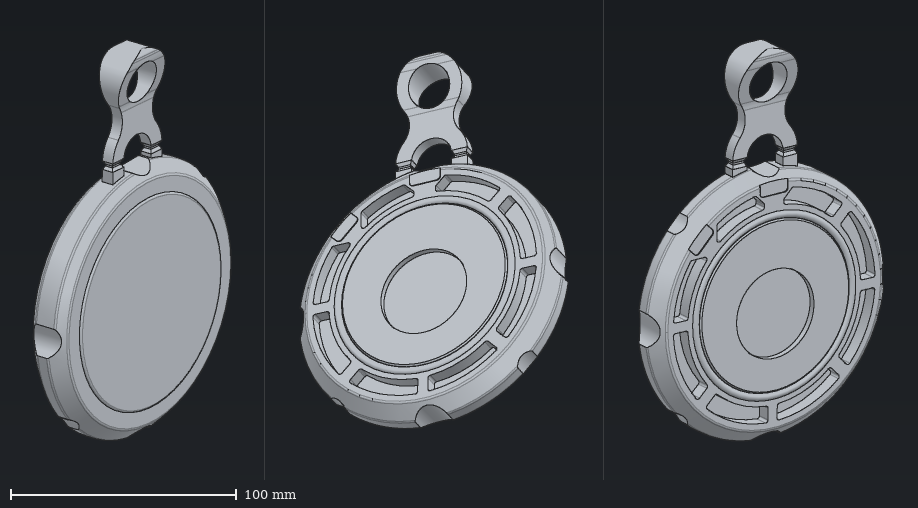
import cadquery as cq
import math

RIM_RADIUS = 65.0
LOW_RIM_RADIUS = 62.7
FACE_RADIUS = 58.5
FACE_X = 9.925
RIM_HALF_WIDTH = 3.05
WHEEL_FILLET = 1.5
RAISED_HEIGHT = 1.0
CLEARANCE = 40.0

NOTCH_RADIUS = 10.0
MAIN_NOTCH_CENTER = 70.5
MINOR_NOTCH_CENTER = 73.5

BEAD_OUTER_RADIUS = 44.4
BEAD_INNER_RADIUS = 40.8
PLATE_RADIUS = 40.7
PLATE_HEIGHT = 0.8
PLATE_CHAMFER = 0.75
WELL_RADIUS = 21.05
WELL_CENTER_Z = -3.6
WELL_DEPTH = 3.0

BACK_DISC_RADIUS = 50.45
BACK_DISC_FILLET = RAISED_HEIGHT

RECESS_INNER = 52.5
RECESS_DEPTH = 0.5
RECESS_CORNER = 1.9
TOP_RECESS_WIDTH = 15.1
DIAGONAL_RECESS_WIDTH = 13.8

POCKET_INNER_RADIUS = 47.0
POCKET_OUTER_RADIUS = 54.9
POCKET_DEPTH = 6.5
POCKET_CORNER = 1.2
POCKET_COUNT = 8
RIB_WIDTH = 5.0
DIAGONAL_RIB_WIDTH = 6.0
TOP_RIB_WIDTH = 10.6
RIB_TWIST = -1.0
WEDGE_APEX = 44.0

EYE_CENTER_Z = 104.52
EYE_RADIUS = 16.0
EYE_HOLE_RADIUS = 10.0
ARCH_CENTER_Z = 69.0
ARCH_RADIUS = 9.75
SHOULDER_RADIUS = 17.7
NECK_ARC_RADIUS = 12.5
LEG_FOOT_Z = 58.0
HANGER_HALF_THICKNESS = 3.0
EYE_HALF_THICKNESS = 8.0
FLARE_START_Z = 94.6
FLARE_END_Z = 115.1
FLARE_FILLET = 15.0
EYE_TOP_FILLET = 2.5

GROOVE_BOTTOM_Z = 66.1
GROOVE_TOP_Z = 70.2
GROOVE_DEPTH = 1.0
GROOVE_SLOPE = 1.6


def cylinder_x(radius, x_start, length, y=0.0, z=0.0):
    """Cylinder parallel to X, running from x_start towards +X."""
    return cq.Workplane("YZ", origin=(x_start, y, z)).circle(radius).extrude(length)


def turned(solid, angle):
    """Turn a solid from the +Z direction towards +Y."""
    return solid.rotate((0, 0, 0), (1, 0, 0), -angle)


def block_up(width, z_low, z_high, x_low, x_high):
    """Block centred on Y = 0."""
    return cq.Workplane("XY").box(
        x_high - x_low, width, z_high - z_low, centered=(False, True, False)
    ).translate((x_low, 0, z_low))


def stepped_wheel():
    """Turned disc whose rim is lowered in one quarter; the conical flanks run on unchanged."""
    outline = [
        (-FACE_X, 0),
        (-FACE_X, FACE_RADIUS),
        (-RIM_HALF_WIDTH, RIM_RADIUS),
        (RIM_HALF_WIDTH, RIM_RADIUS),
        (FACE_X, FACE_RADIUS),
        (FACE_X, 0),
    ]
    disc = cq.Workplane("XY").polyline(outline).close().revolve(360, (0, 0), (1, 0))
    quarter = cq.Workplane("XY").box(
        2 * CLEARANCE, 2 * RIM_RADIUS, 2 * RIM_RADIUS, centered=(True, False, False)
    ).translate((0, -2 * RIM_RADIUS, 0))
    low_rim = cylinder_x(LOW_RIM_RADIUS, -CLEARANCE, 2 * CLEARANCE)
    disc = disc.cut(quarter.cut(low_rim))
    return disc.edges("%CIRCLE").fillet(WHEEL_FILLET)


def rim_notches():
    """One cylinder per 45 degrees, starting at +Z."""
    notches = []
    for step in range(8):
        center = MINOR_NOTCH_CENTER if step % 2 else MAIN_NOTCH_CENTER
        notch = cylinder_x(NOTCH_RADIUS, -CLEARANCE, 2 * CLEARANCE, z=center)
        notches.append(turned(notch, 45 * step))
    return notches


def bead():
    """Rounded ring standing on the -X face."""
    middle = (BEAD_OUTER_RADIUS + BEAD_INNER_RADIUS) / 2
    return (
        cq.Workplane("XY")
        .moveTo(-FACE_X, BEAD_INNER_RADIUS)
        .threePointArc((-FACE_X - RAISED_HEIGHT, middle), (-FACE_X, BEAD_OUTER_RADIUS))
        .lineTo(-FACE_X + RAISED_HEIGHT, BEAD_OUTER_RADIUS)
        .lineTo(-FACE_X + RAISED_HEIGHT, BEAD_INNER_RADIUS)
        .close()
        .revolve(360, (0, 0), (1, 0))
    )


def front_plate():
    plate = cylinder_x(PLATE_RADIUS, -FACE_X - PLATE_HEIGHT, PLATE_HEIGHT + RAISED_HEIGHT)
    return plate.faces("<X").chamfer(PLATE_CHAMFER)


def back_disc():
    disc = cylinder_x(BACK_DISC_RADIUS, 0, FACE_X + RAISED_HEIGHT)
    return disc.faces(">X").edges().fillet(BACK_DISC_FILLET)


def well():
    floor_x = -FACE_X - PLATE_HEIGHT + WELL_DEPTH
    return cylinder_x(WELL_RADIUS, floor_x - CLEARANCE, CLEARANCE, z=WELL_CENTER_Z)


def recess(width, angle):
    floor_x = -FACE_X + RECESS_DEPTH
    cutter = block_up(width, RECESS_INNER, RIM_RADIUS, floor_x - CLEARANCE, floor_x)
    cutter = cutter.edges("|X and <Z").fillet(RECESS_CORNER)
    return turned(cutter, angle)


def pocket_ribs(x_low, x_high):
    """Ribs between the pockets; the diagonal recess has its own web in place of a rib."""
    ribs = [block_up(TOP_RIB_WIDTH, 0, RIM_RADIUS, x_low, x_high)]
    for step in range(2, POCKET_COUNT):
        width = DIAGONAL_RIB_WIDTH if step % 2 else RIB_WIDTH
        rib = block_up(width, 0, RIM_RADIUS, x_low, x_high)
        ribs.append(turned(rib, 360 / POCKET_COUNT * step + RIB_TWIST))
    return ribs


def recess_web(angle, x_low, x_high):
    """90 degree wedge of solid face that surrounds a recess."""
    reach = RIM_RADIUS - WEDGE_APEX
    web = (
        cq.Workplane("YZ", origin=(x_low, 0, 0))
        .polyline([(0, WEDGE_APEX), (reach, RIM_RADIUS), (-reach, RIM_RADIUS)])
        .close()
        .extrude(x_high - x_low)
    )
    return turned(web, angle)


def pockets():
    floor_x = -FACE_X + POCKET_DEPTH
    x_low = -FACE_X - RAISED_HEIGHT
    ring = (
        cq.Workplane("YZ", origin=(x_low, 0, 0))
        .circle(POCKET_OUTER_RADIUS)
        .circle(POCKET_INNER_RADIUS)
        .extrude(floor_x - x_low)
    )
    for rib in pocket_ribs(x_low, floor_x):
        ring = ring.cut(rib)
    for angle in (0, 45):
        ring = ring.cut(recess_web(angle, x_low, floor_x))
    return ring.edges("|X").fillet(POCKET_CORNER)


def hanger_outline():
    """Flat shape of the hanger in the YZ plane, without its eye hole and arch."""
    eye_reach = EYE_RADIUS + NECK_ARC_RADIUS
    shoulder_reach = SHOULDER_RADIUS + NECK_ARC_RADIUS
    span = EYE_CENTER_Z - ARCH_CENTER_Z
    rise = (shoulder_reach**2 - eye_reach**2 + span**2) / (2 * span)
    neck_y = math.sqrt(shoulder_reach**2 - rise**2)
    neck_z = ARCH_CENTER_Z + rise
    shoulder_part = SHOULDER_RADIUS / shoulder_reach
    eye_part = EYE_RADIUS / eye_reach
    low_y = neck_y * shoulder_part
    low_z = ARCH_CENTER_Z + rise * shoulder_part
    high_y = neck_y * eye_part
    high_z = EYE_CENTER_Z - (EYE_CENTER_Z - neck_z) * eye_part
    waist_y = neck_y - NECK_ARC_RADIUS
    half_angle = math.atan2(rise, neck_y) / 2
    mid_y = SHOULDER_RADIUS * math.cos(half_angle)
    mid_z = ARCH_CENTER_Z + SHOULDER_RADIUS * math.sin(half_angle)
    return (
        cq.Workplane("YZ", origin=(-CLEARANCE, 0, 0))
        .moveTo(-SHOULDER_RADIUS, LEG_FOOT_Z)
        .lineTo(SHOULDER_RADIUS, LEG_FOOT_Z)
        .lineTo(SHOULDER_RADIUS, ARCH_CENTER_Z)
        .threePointArc((mid_y, mid_z), (low_y, low_z))
        .threePointArc((waist_y, neck_z), (high_y, high_z))
        .threePointArc((0, EYE_CENTER_Z + EYE_RADIUS), (-high_y, high_z))
        .threePointArc((-waist_y, neck_z), (-low_y, low_z))
        .threePointArc((-mid_y, mid_z), (-SHOULDER_RADIUS, ARCH_CENTER_Z))
        .close()
        .extrude(2 * CLEARANCE)
    )


def hanger_side_profile():
    """Side shape in the XZ plane: a thin plate that flares out to the thick eye."""
    top_z = EYE_CENTER_Z + EYE_RADIUS
    right_side = [
        (HANGER_HALF_THICKNESS, LEG_FOOT_Z),
        (HANGER_HALF_THICKNESS, FLARE_START_Z),
        (EYE_HALF_THICKNESS, FLARE_END_Z),
        (EYE_HALF_THICKNESS, top_z),
    ]
    left_side = [(-x, z) for x, z in reversed(right_side)]
    profile = (
        cq.Workplane("XZ")
        .polyline(right_side + left_side)
        .close()
        .extrude(CLEARANCE, both=True)
    )
    bends = cq.selectors.BoxSelector(
        (-CLEARANCE, -CLEARANCE, FLARE_START_Z - 1),
        (CLEARANCE, CLEARANCE, FLARE_END_Z + 1),
    )
    profile = profile.edges("|Y").edges(bends).fillet(FLARE_FILLET)
    return profile.edges("|Y and >Z").fillet(EYE_TOP_FILLET)


def leg_groove(side):
    """Groove with sloped sides running around one leg; side is +1 or -1 in Y."""
    leg_width = SHOULDER_RADIUS - ARCH_RADIUS
    leg_center = side * (SHOULDER_RADIUS + ARCH_RADIUS) / 2
    thickness = 2 * HANGER_HALF_THICKNESS
    neck_x = thickness - 2 * GROOVE_DEPTH
    neck_y = leg_width - 2 * GROOVE_DEPTH
    height = GROOVE_TOP_Z - GROOVE_BOTTOM_Z

    def frustum(z, rise):
        return (
            cq.Workplane("XY", origin=(0, leg_center, z))
            .rect(thickness, leg_width)
            .workplane(offset=rise)
            .rect(neck_x, neck_y)
            .loft(ruled=True)
        )

    sleeve = cq.Workplane("XY", origin=(0, leg_center, GROOVE_BOTTOM_Z)).rect(
        thickness + GROOVE_DEPTH, leg_width + GROOVE_DEPTH
    ).extrude(height)
    core = cq.Workplane("XY", origin=(0, leg_center, GROOVE_BOTTOM_Z)).rect(neck_x, neck_y).extrude(height)
    kept = core.union(frustum(GROOVE_BOTTOM_Z, GROOVE_SLOPE)).union(frustum(GROOVE_TOP_Z, -GROOVE_SLOPE))
    return sleeve.cut(kept)


def hanger():
    body = hanger_outline().intersect(hanger_side_profile())
    body = body.cut(cylinder_x(EYE_HOLE_RADIUS, -CLEARANCE, 2 * CLEARANCE, z=EYE_CENTER_Z))
    body = body.cut(cylinder_x(ARCH_RADIUS, -CLEARANCE, 2 * CLEARANCE, z=ARCH_CENTER_Z))
    gap = block_up(2 * ARCH_RADIUS, LEG_FOOT_Z, ARCH_CENTER_Z, -CLEARANCE, CLEARANCE)
    body = body.cut(gap)
    for side in (-1, 1):
        body = body.cut(leg_groove(side))
    return body


disc = stepped_wheel()
for notch in rim_notches():
    disc = disc.cut(notch, clean=False)
for raised in (bead(), front_plate(), back_disc()):
    disc = disc.union(raised, clean=False)
for cutter in (well(), pockets(), recess(TOP_RECESS_WIDTH, 0), recess(DIAGONAL_RECESS_WIDTH, 45)):
    disc = disc.cut(cutter, clean=False)
result = disc.union(hanger(), clean=False)